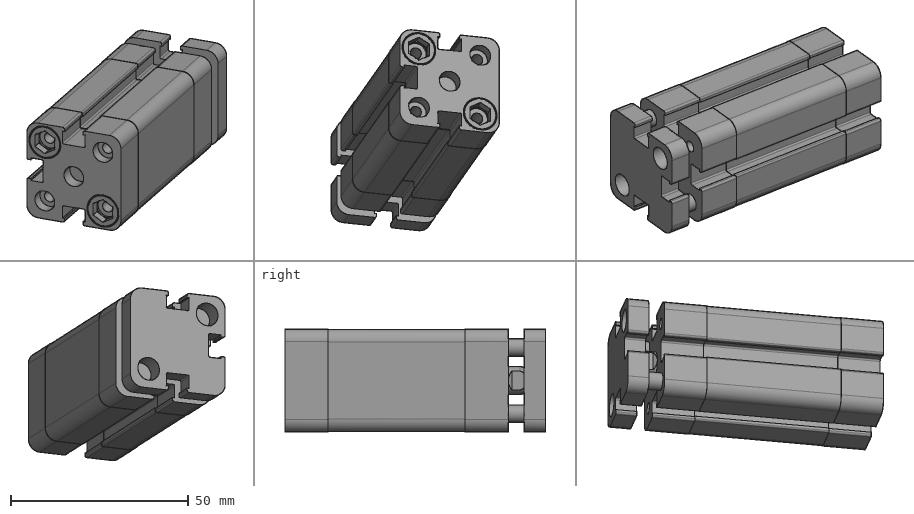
import cadquery as cq
import math

width = 29.0
corner_radius = 3.5
barrel_inset = 0.1
barrel_width = width - 2 * barrel_inset

length = 73.5
cap_length = 12.2
plate_thickness = 6.0
gap = 4.5
plate_front = length - plate_thickness
body_end = plate_front - gap
rear_cap_front = body_end - cap_length

cap_slot_width = 6.9
barrel_slot_width = 6.8
slot_lip = 1.25
slot_floor_radius = 0.45
cap_slot_mouth = 5.7
cap_slot_depth = 5.1
barrel_slot_mouth = 5.45
barrel_slot_depth = 4.8
barrel_lip_radius = 0.45

hole_offset = 9.0
bore_diameter = 6.0
bore_depth = 3.45
through_diameter = 3.2
socket_depth = 2.65
socket_corner_diameter = bore_diameter / math.cos(math.pi / 6)
socket_turn = 90
ring_outer_diameter = 9.8
ring_inner_diameter = 9.2
ring_depth = 0.5
center_hole_depth = 4.2
plate_hole_diameter = 6.6

guide_offset = 9.3
guide_diameter = 5.0
rod_diameter = 8.0
rod_flats = 6.0
rod_tip_diameter = 7.0
rod_tip_length = 1.2

screw_points = [(-hole_offset, hole_offset), (hole_offset, -hole_offset)]
threaded_points = [(-hole_offset, -hole_offset), (hole_offset, hole_offset)]
guide_points = [(-guide_offset, -guide_offset), (guide_offset, guide_offset)]


def plane_at(y):
    """Sketch plane at depth y: local x is X, local y is Z, negative extrusion goes toward +Y."""
    return cq.Workplane("XZ", origin=(0, y, 0))


def cylinders(points, diameter, y_start, y_end):
    return plane_at(y_start).pushPoints(points).circle(diameter / 2).extrude(y_start - y_end)


def slot_cutter(y_start, y_end, side, slot_width, mouth, depth, lip_radius):
    """T-shaped slot open at the top face, with rounded mouth edges and floor corners."""
    top = side / 2
    floor = top - depth
    half_mouth = mouth / 2
    half_slot = slot_width / 2
    fillet = slot_floor_radius
    lip_sag = lip_radius * (1 - math.sqrt(0.5))
    floor_sag = fillet * (1 - math.sqrt(0.5))
    half = (
        plane_at(y_start)
        .moveTo(0, top)
        .lineTo(half_mouth + lip_radius, top)
        .threePointArc((half_mouth + lip_sag, top - lip_sag), (half_mouth, top - lip_radius))
        .lineTo(half_mouth, top - slot_lip)
        .lineTo(half_slot, top - slot_lip)
        .lineTo(half_slot, floor + fillet)
        .threePointArc((half_slot - floor_sag, floor + floor_sag), (half_slot - fillet, floor))
        .lineTo(0, floor)
        .close()
        .extrude(y_start - y_end)
    )
    return half.union(half.mirror("YZ"))


def slotted_block(y_start, y_end, side, slot_width, mouth, depth, lip_radius):
    """Rounded square block with slots on the top, bottom and -X sides."""
    block = plane_at(y_start).rect(side, side).extrude(y_start - y_end)
    block = block.edges("|Y").fillet(corner_radius)
    slot = slot_cutter(y_start, y_end, side, slot_width, mouth, depth, lip_radius)
    top_side, left_side, bottom_side = 0, -90, 180
    for angle in (top_side, left_side, bottom_side):
        block = block.cut(slot.rotate((0, 0, 0), (0, 1, 0), angle))
    return block


def end_block(y_start, y_end):
    lip_radius = (cap_slot_width - cap_slot_mouth) / 2
    return slotted_block(y_start, y_end, width, cap_slot_width, cap_slot_mouth, cap_slot_depth, lip_radius)


def piston_rod():
    """Rod with a rounded tip and two flats that run out at 45 degrees against the rear cap."""
    radius = rod_diameter / 2
    tip_drop = (rod_diameter - rod_tip_diameter) / 2
    tip_radius = (rod_tip_length**2 + tip_drop**2) / (2 * tip_drop)
    half_angle = math.asin(rod_tip_length / tip_radius) / 2
    tip_start = plate_front - rod_tip_length
    arc_middle = (
        radius - tip_radius * (1 - math.cos(half_angle)),
        tip_start + tip_radius * math.sin(half_angle),
    )
    rod = (
        cq.Workplane("XY")
        .moveTo(0, body_end)
        .lineTo(radius, body_end)
        .lineTo(radius, tip_start)
        .threePointArc(arc_middle, (rod_tip_diameter / 2, plate_front))
        .lineTo(0, plate_front)
        .close()
        .revolve(360, (0, 0, 0), (0, 1, 0))
    )
    half_flats = rod_flats / 2
    runout_end = body_end + radius - half_flats
    envelope = (
        cq.Workplane("XY")
        .polyline([
            (-radius, body_end),
            (radius, body_end),
            (half_flats, runout_end),
            (half_flats, plate_front),
            (-half_flats, plate_front),
            (-half_flats, runout_end),
        ])
        .close()
        .extrude(radius, both=True)
    )
    return rod.intersect(envelope)


def screw_cuts():
    """Hexagon sockets over round bores, ring gaps round the screw heads, and through holes."""
    socket = plane_at(0).polygon(6, socket_corner_diameter).extrude(-socket_depth)
    socket = socket.rotate((0, 0, 0), (0, 1, 0), socket_turn)
    rings = cylinders(screw_points, ring_outer_diameter, 0, ring_depth)
    rings = rings.cut(cylinders(screw_points, ring_inner_diameter, 0, ring_depth))
    bores = cylinders(screw_points, bore_diameter, 0, bore_depth)
    through = cylinders(screw_points, through_diameter, 0, body_end)
    cuts = rings.union(bores).union(through)
    for x, z in screw_points:
        cuts = cuts.union(socket.translate((x, 0, z)))
    return cuts


def threaded_cuts():
    bores = cylinders(threaded_points, bore_diameter, 0, bore_depth)
    return bores.union(cylinders(threaded_points, through_diameter, 0, cap_length))


body = end_block(0, cap_length)
barrel = slotted_block(
    cap_length,
    rear_cap_front,
    barrel_width,
    barrel_slot_width,
    barrel_slot_mouth,
    barrel_slot_depth,
    barrel_lip_radius,
)
body = body.union(barrel)
body = body.union(end_block(rear_cap_front, body_end))
body = body.cut(screw_cuts()).cut(threaded_cuts())
body = body.cut(cylinders([(0, 0)], bore_diameter, 0, center_hole_depth))

plate = end_block(plate_front, length)
plate = plate.cut(cylinders(screw_points, plate_hole_diameter, plate_front, length))

guides = cylinders(guide_points, guide_diameter, body_end, plate_front)
result = body.union(plate).union(guides).union(piston_rod())